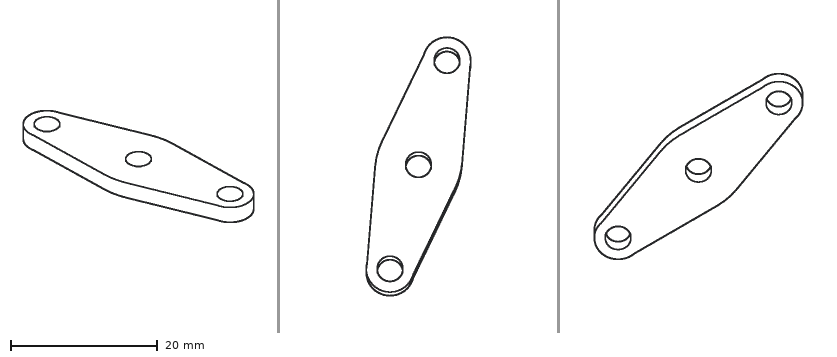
import cadquery as cq

length = 36.5
thickness = 2.5
hole_spacing = 15.0
hole_diameter = 3.5
apex_height = 6.0
waist_radius = 10.0

end_radius = length / 2 - hole_spacing

plate = (
    cq.Workplane("XY")
    .moveTo(-hole_spacing, end_radius)
    .lineTo(0, apex_height)
    .lineTo(hole_spacing, end_radius)
    .threePointArc((length / 2, 0), (hole_spacing, -end_radius))
    .lineTo(0, -apex_height)
    .lineTo(-hole_spacing, -end_radius)
    .threePointArc((-length / 2, 0), (-hole_spacing, end_radius))
    .close()
    .extrude(thickness)
)

for side in (">Y", "<Y"):
    plate = plate.edges("|Z").edges(side).fillet(waist_radius)

hole_centres = [(-hole_spacing, 0), (0, 0), (hole_spacing, 0)]
holes = (
    cq.Workplane("XY")
    .pushPoints(hole_centres)
    .circle(hole_diameter / 2)
    .extrude(thickness)
)

result = plate.cut(holes)